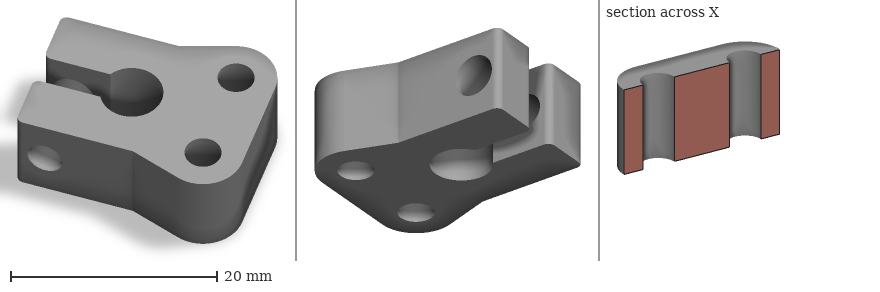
import cadquery as cq
import math

length = 22.5
width = 18.0
height = 9.0

end_radius = 4.0
mount_hole_diameter = 3.6
mount_x = length - end_radius
mount_y = width / 2 - end_radius

arm_length = 12.0
arms_width = 14.05
slot_width = 3.0
arm_corner_radius = 0.72
bore_diameter = 6.16
bore_x = 9.5

screw_x = 3.0
screw_diameter = 3.6
far_screw_diameter = 4.35


def body():
    """Plate whose arms flare out along tangents to the rounded end corners."""
    half_arms = arms_width / 2
    dx = arm_length - mount_x
    dy = half_arms - mount_y
    tangent_angle = math.atan2(dy, dx) - math.acos(end_radius / math.hypot(dx, dy))

    def corner_point(angle):
        x = mount_x + end_radius * math.cos(angle)
        y = mount_y + end_radius * math.sin(angle)
        return x, y

    tangent_x, tangent_y = corner_point(tangent_angle)
    middle_x, middle_y = corner_point(tangent_angle / 2)
    return (
        cq.Workplane("XY")
        .moveTo(0, -half_arms)
        .lineTo(arm_length, -half_arms)
        .lineTo(tangent_x, -tangent_y)
        .threePointArc((middle_x, -middle_y), (length, -mount_y))
        .lineTo(length, mount_y)
        .threePointArc((middle_x, middle_y), (tangent_x, tangent_y))
        .lineTo(arm_length, half_arms)
        .lineTo(0, half_arms)
        .close()
        .extrude(height)
    )


def vertical_holes(points, diameter):
    return cq.Workplane("XY").pushPoints(points).circle(diameter / 2).extrude(height)


def screw_hole(diameter, direction):
    """Cross hole from the middle plane out through one arm; direction is -1 or +1 along Y."""
    return (
        cq.Workplane("XZ")
        .center(screw_x, height / 2)
        .circle(diameter / 2)
        .extrude(-direction * arms_width / 2)
    )


slot = cq.Workplane("XY").box(bore_x, slot_width, height, centered=(False, True, False))

result = body().cut(slot).faces("<X").edges("|Z").fillet(arm_corner_radius)

result = (
    result
    .cut(vertical_holes([(bore_x, 0)], bore_diameter))
    .cut(vertical_holes([(mount_x, -mount_y), (mount_x, mount_y)], mount_hole_diameter))
    .cut(screw_hole(screw_diameter, -1))
    .cut(screw_hole(far_screw_diameter, 1))
)